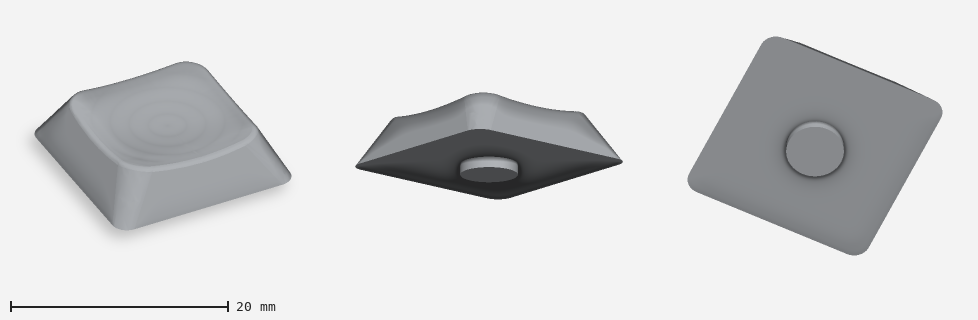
import cadquery as cq

base_width = 18.3
base_corner_radius = 1.5
blank_height = 6.0
blank_top_width = 12.45
blank_top_corner_radius = 2.7

dish_radius = 26.8
dish_floor_height = 3.15
dish_offset_y = 0.47
rim_fillet = 0.5

stem_diameter = 5.3
stem_length = 1.0


def rounded_square(width, corner_radius):
    """Sketch of a centred square with rounded corners."""
    return cq.Sketch().rect(width, width).vertices().fillet(corner_radius)


def make_blank():
    """Tapered body before the dish is cut, with straight-ruled sides and corners."""
    bottom = rounded_square(base_width, base_corner_radius)
    top = rounded_square(blank_top_width, blank_top_corner_radius)
    raised_top = top.moved(cq.Location(cq.Vector(0, 0, blank_height)))
    return cq.Workplane("XY").placeSketch(bottom, raised_top).loft(ruled=True)


def cut_dish(body):
    """Scoop the top with a sphere and round the rim that is left."""
    dish_center = (0, dish_offset_y, dish_floor_height + dish_radius)
    dish = cq.Workplane("XY").sphere(dish_radius).translate(dish_center)
    dished = body.cut(dish)
    return dished.faces("%SPHERE").edges().fillet(rim_fillet)


def make_stem():
    """Cylinder hanging from the underside of the body."""
    return cq.Workplane("XY").circle(stem_diameter / 2).extrude(-stem_length)


result = cut_dish(make_blank()).union(make_stem())